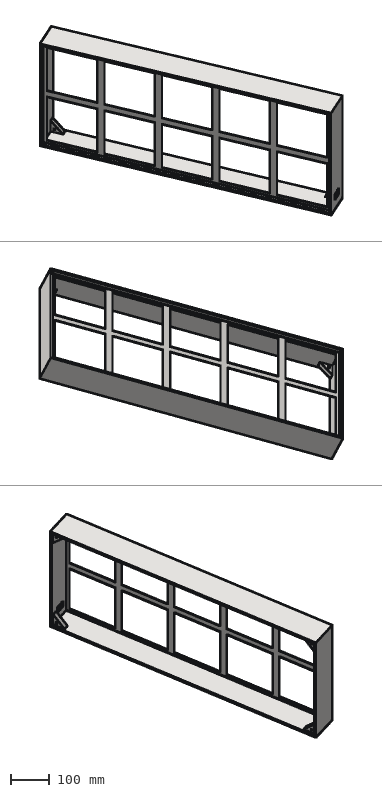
import cadquery as cq

length = 812.0
depth = 80.0
height = 332.0

wall = 6.0
recess_depth = 10.0
grid_thickness = 2.0
columns = 5
rows = 2
bar_width = 20.0
grid_border = 10.0

gusset_leg = 35.0
gusset_thickness = 15.0
gusset_setback = 5.0
screw_hole_diameter = 5.0
screw_hole_inset = 10.0

slot_length = 31.0
slot_height = 18.0
slot_corner_radius = 5.0
slot_above_bottom = 41.0

inner_length = length - 2 * wall
inner_height = height - 2 * wall
window_length = (inner_length - 2 * grid_border - (columns - 1) * bar_width) / columns
window_height = (inner_height - 2 * grid_border - (rows - 1) * bar_width) / rows
front_y = -depth / 2
back_y = depth / 2


def make_walls():
    outer = cq.Workplane("XY").box(length, depth, height)
    opening = cq.Workplane("XY").box(inner_length, depth, inner_height)
    return outer.cut(opening)


def make_grid():
    grid_y = front_y + recess_depth + grid_thickness / 2
    panel = cq.Workplane("XY").box(inner_length, grid_thickness, inner_height)
    windows = (
        cq.Workplane("XZ")
        .rarray(window_length + bar_width, window_height + bar_width, columns, rows)
        .rect(window_length, window_height)
        .extrude(grid_thickness, both=True)
    )
    return panel.cut(windows).translate((0, grid_y, 0))


def make_gusset(x_side, z_side):
    """Triangular block in one inner corner; the sides are -1 or +1."""
    corner_x = x_side * inner_length / 2
    corner_z = z_side * inner_height / 2
    back_face = cq.Workplane("XZ", origin=(0, back_y - gusset_setback, 0))
    block = (
        back_face.moveTo(corner_x, corner_z)
        .lineTo(corner_x - x_side * gusset_leg, corner_z)
        .lineTo(corner_x, corner_z - z_side * gusset_leg)
        .close()
        .extrude(gusset_thickness)
    )
    screw_hole = (
        back_face.center(corner_x - x_side * screw_hole_inset, corner_z - z_side * screw_hole_inset)
        .circle(screw_hole_diameter / 2)
        .extrude(gusset_thickness)
    )
    return block.cut(screw_hole)


def make_cable_slot():
    slot_z = -height / 2 + slot_above_bottom
    return (
        cq.Workplane("YZ", origin=(inner_length / 2, 0, slot_z))
        .rect(slot_length, slot_height)
        .extrude(wall)
        .edges("|X")
        .fillet(slot_corner_radius)
    )


result = make_walls().union(make_grid())
for x_side in (-1, 1):
    for z_side in (-1, 1):
        result = result.union(make_gusset(x_side, z_side))
result = result.cut(make_cable_slot())